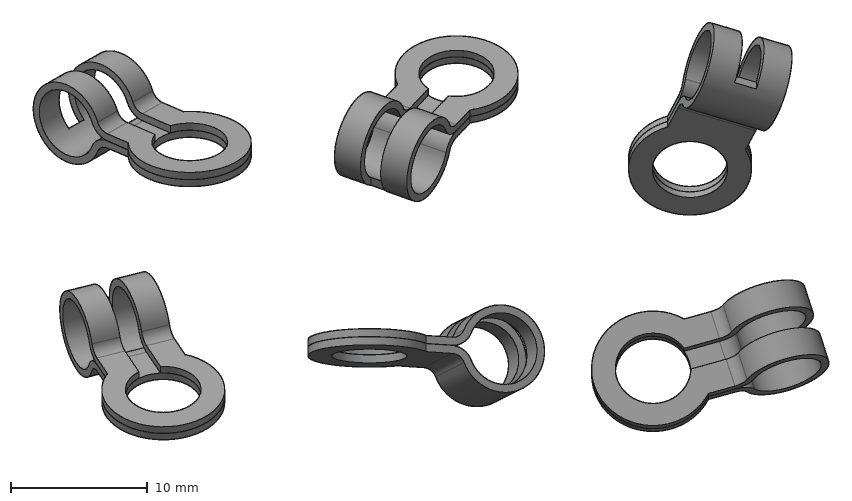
import cadquery as cq
import math

LENGTH = 17.0
RING_DIAMETER = 9.0
LOOP_DIAMETER = 6.5
HOLE_DIAMETER = 5.5
BAND_WIDTH = 6.12
SLOT_WIDTH = 1.7
STRIP_THICKNESS = 0.6
TAB_GAP = 0.02
BEND_RADIUS = 1.0
SLOT_END_X = -1.72

loop_outer = LOOP_DIAMETER / 2
loop_inner = loop_outer - STRIP_THICKNESS
ring_x = LENGTH - loop_outer - RING_DIAMETER / 2
tab_inner_z = TAB_GAP / 2
tab_outer_z = tab_inner_z + STRIP_THICKNESS

bend_z = tab_outer_z + BEND_RADIUS
bend_x = math.sqrt((loop_outer + BEND_RADIUS) ** 2 - bend_z ** 2)
bend_angle = math.atan2(bend_z, bend_x)


def around_origin(radius, angle):
    return (radius * math.cos(angle), radius * math.sin(angle))


def around_bend(radius, angle):
    return (bend_x + radius * math.cos(angle), bend_z + radius * math.sin(angle))


def mirrored(point):
    return (point[0], -point[1])


def strip_outline(loop_radius, bend_radius, tab_z):
    """Area enclosed by one surface of the bent strip, closed at the ring centre."""
    bend_middle_angle = (bend_angle - math.pi - math.pi / 2) / 2
    loop_end = around_origin(loop_radius, bend_angle)
    bend_middle = around_bend(bend_radius, bend_middle_angle)
    bend_end = (bend_x, tab_z)
    tab_end = (ring_x, tab_z)
    return (
        cq.Workplane("XZ")
        .moveTo(*tab_end)
        .lineTo(*bend_end)
        .threePointArc(bend_middle, loop_end)
        .threePointArc((-loop_radius, 0), mirrored(loop_end))
        .threePointArc(mirrored(bend_middle), mirrored(bend_end))
        .lineTo(*mirrored(tab_end))
        .close()
        .extrude(BAND_WIDTH / 2, both=True)
    )


def ring_plates():
    """Upper and lower round plates, separated by the tab gap."""
    plate = cq.Workplane("XY").center(ring_x, 0).circle(RING_DIAMETER / 2)
    plate = plate.extrude(STRIP_THICKNESS).translate((0, 0, tab_inner_z))
    return plate.union(plate.mirror("XY"))


def slot():
    """Central slot through the loop's upper half and open end, up to the hole."""
    upper_half = cq.Workplane("XY").box(
        loop_outer + ring_x, SLOT_WIDTH, loop_outer, centered=(False, True, False)
    ).translate((-loop_outer, 0, 0))
    open_end = cq.Workplane("XY").box(
        loop_outer + SLOT_END_X, SLOT_WIDTH, LOOP_DIAMETER, centered=(False, True, True)
    ).translate((-loop_outer, 0, 0))
    return upper_half.union(open_end)


inner_space = strip_outline(loop_inner, BEND_RADIUS + STRIP_THICKNESS, tab_inner_z)
band = strip_outline(loop_outer, BEND_RADIUS, tab_outer_z).cut(inner_space)
ring_hole = (
    cq.Workplane("XY").center(ring_x, 0).circle(HOLE_DIAMETER / 2).extrude(tab_outer_z, both=True)
)
result = band.union(ring_plates()).cut(ring_hole).cut(slot())